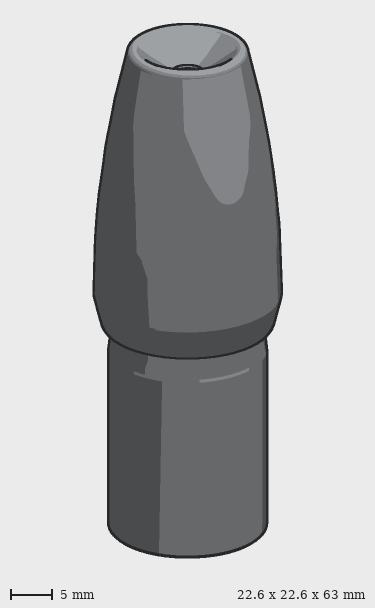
import cadquery as cq
import math

overall_height = 63.0

sleeve_radius = 9.5
sleeve_edge_chamfer = 0.25
sleeve_top_z = 23.1
sleeve_step_height = 0.4
neck_lower_radius = 9.45
neck_upper_radius = 9.2

handle_bottom_z = 26.7
handle_bottom_radius = 10.4
handle_edge_width = 0.2
handle_edge_height = 0.3
handle_max_radius = 11.3
shoulder_z = 30.6
shoulder_band_height = 0.2
handle_tip_radius = 7.3
handle_tip_z = 62.2

rim_crest_radius = 6.5
funnel_top_radius = 5.85
funnel_top_z = 62.75
funnel_bottom_radius = 1.8
funnel_depth = 2.9
bore_radius = 1.7
bore_depth = 0.4

side_start_z = shoulder_z + shoulder_band_height
side_rise = handle_tip_z - side_start_z
side_inset = handle_max_radius - handle_tip_radius
side_arc_radius = (side_rise**2 + side_inset**2) / (2 * side_inset)
side_lean = math.asin(side_rise / side_arc_radius)

funnel_bottom_z = funnel_top_z - funnel_depth
bore_bottom_z = funnel_bottom_z - bore_depth


def side_midpoint():
    """Point halfway along the arc of the handle's side, as (radius, z)."""
    half_lean = side_lean / 2
    inset = side_arc_radius * (1 - math.cos(half_lean))
    rise = side_arc_radius * math.sin(half_lean)
    return handle_max_radius - inset, side_start_z + rise


def half_profile():
    """Closed half section of the whole connector, radius against height."""
    return (
        cq.Workplane("XZ")
        .moveTo(0, 0)
        .lineTo(sleeve_radius - sleeve_edge_chamfer, 0)
        .lineTo(sleeve_radius, sleeve_edge_chamfer)
        .lineTo(sleeve_radius, sleeve_top_z)
        .lineTo(neck_lower_radius, sleeve_top_z + sleeve_step_height)
        .lineTo(neck_upper_radius, handle_bottom_z)
        .lineTo(handle_bottom_radius - handle_edge_width, handle_bottom_z)
        .lineTo(handle_bottom_radius, handle_bottom_z + handle_edge_height)
        .lineTo(handle_max_radius, shoulder_z)
        .lineTo(handle_max_radius, side_start_z)
        .threePointArc(side_midpoint(), (handle_tip_radius, handle_tip_z))
        .threePointArc((rim_crest_radius, overall_height), (funnel_top_radius, funnel_top_z))
        .lineTo(funnel_bottom_radius, funnel_bottom_z)
        .lineTo(bore_radius, bore_bottom_z)
        .lineTo(0, bore_bottom_z)
        .close()
    )


result = half_profile().revolve(360, (0, 0, 0), (0, 1, 0))